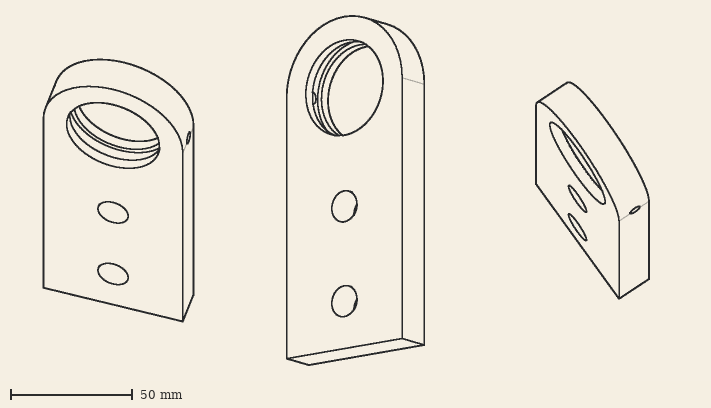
import cadquery as cq

width = 60.0
thickness = 15.0
height = 140.0
end_radius = width / 2
eye_height = height - end_radius

eye_diameter = 40.0
groove_diameter = 44.0
groove_width = 6.0
groove_start = (thickness - groove_width) / 2

port_diameter = 4.92
port_offset_from_front = 8.0

mount_hole_diameter = 13.0
lowest_mount_hole_height = 20.0
mount_hole_pitch = 40.0
mount_hole_count = 2


def make_plate():
    """Plate with a flat bottom and a semicircular top, front face at Y = 0."""
    return (
        cq.Workplane("XZ")
        .moveTo(-width / 2, 0)
        .lineTo(width / 2, 0)
        .lineTo(width / 2, eye_height)
        .threePointArc((0, height), (-width / 2, eye_height))
        .close()
        .extrude(-thickness)
    )


def cylinder_along_y(diameter, centre_height, start, length):
    """Cylinder on the X = 0 centreline, running toward +Y from Y = start."""
    return cq.Workplane("XY").add(
        cq.Solid.makeCylinder(
            diameter / 2,
            length,
            cq.Vector(0, start, centre_height),
            cq.Vector(0, 1, 0),
        )
    )


def cut_eye(body):
    """Cut the through bore and its wider internal groove."""
    bore = cylinder_along_y(eye_diameter, eye_height, 0, thickness)
    groove = cylinder_along_y(groove_diameter, eye_height, groove_start, groove_width)
    return body.cut(bore).cut(groove)


def cut_port(body):
    """Drill from the eye axis out through the +X edge."""
    port = cq.Solid.makeCylinder(
        port_diameter / 2,
        width / 2,
        cq.Vector(0, port_offset_from_front, eye_height),
        cq.Vector(1, 0, 0),
    )
    return body.cut(cq.Workplane("XY").add(port))


def cut_mount_holes(body):
    """Cut the row of through holes below the eye."""
    for index in range(mount_hole_count):
        hole_height = lowest_mount_hole_height + index * mount_hole_pitch
        body = body.cut(cylinder_along_y(mount_hole_diameter, hole_height, 0, thickness))
    return body


result = cut_mount_holes(cut_port(cut_eye(make_plate())))